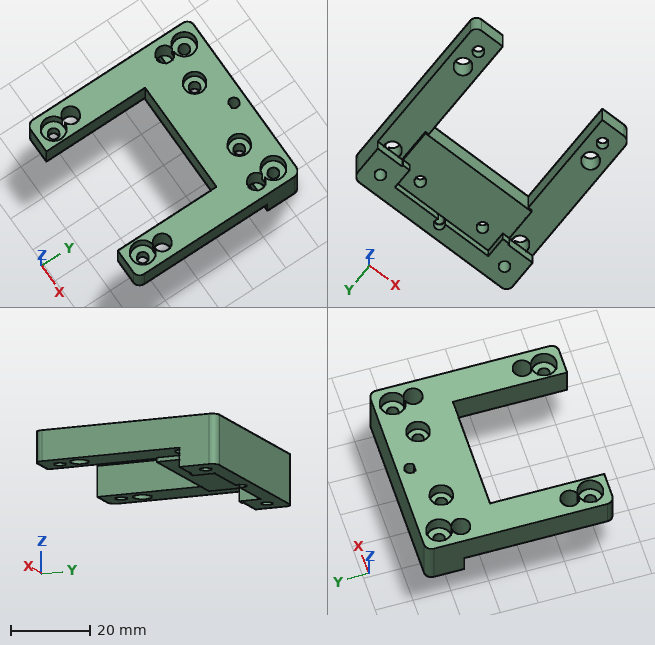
import cadquery as cq

side = 49.8
height = 13.1
corner_radius = 2.0
middle = side / 2

arm_bottom = 5.05
pad_bottom = 3.95
block_front = 39.7
inner_block_front = 39.3
pad_width = 34.15

slot_width = 31.95
slot_back = 30.2

recess_width = 30.0
recess_back = 45.2

screw_diameter = 3.0
corner_bore_diameter = 6.55
middle_bore_diameter = 6.0
corner_bore_depth = 4.0
middle_bore_depth = 3.5
corner_screw_spacing = 39.95
middle_screw_spacing = 20.0
middle_screw_y = 41.25

relief_diameter = 4.8
relief_spacing_x = 41.05
relief_spacing_y = 28.8

locating_diameter = 2.9
locating_y = 46.4
groove_y = 46.1


def box(width, y_start, y_end, z_start, z_end):
    """Block centred across the part in X, between the given Y and Z limits."""
    size_y = y_end - y_start
    size_z = z_end - z_start
    return (
        cq.Workplane("XY")
        .box(width, size_y, size_z, centered=(True, False, False))
        .translate((middle, y_start, z_start))
    )


def cylinder(x, y, diameter, z_start, z_end):
    """Vertical cylinder between two levels."""
    return (
        cq.Workplane("XY", origin=(x, y, z_start))
        .circle(diameter / 2)
        .extrude(z_end - z_start)
    )


def mirrored_pair(spacing):
    """Coordinates of two features placed symmetrically about the middle."""
    return (middle - spacing / 2, middle + spacing / 2)


def counterbored_hole(x, y, bore_diameter, bore_depth):
    """Through screw hole with a counterbore from the top face."""
    hole = cylinder(x, y, screw_diameter, 0, height)
    bore = cylinder(x, y, bore_diameter, height - bore_depth, height)
    return hole.union(bore)


def make_body():
    """Rounded square with a raised underside, a pad and the slot."""
    body = box(side, 0, side, 0, height).edges("|Z").fillet(corner_radius)
    body = body.cut(box(side, 0, block_front, 0, arm_bottom))
    body = body.union(box(pad_width, slot_back, block_front, pad_bottom, arm_bottom))
    body = body.union(box(pad_width, inner_block_front, block_front, 0, pad_bottom))
    body = body.cut(box(slot_width, 0, slot_back, 0, height))
    return body.cut(box(recess_width, inner_block_front, recess_back, 0, pad_bottom))


def locating_hole():
    """Upper hole flattened at the recess wall, above an open half-round groove."""
    upper = cylinder(middle, locating_y, locating_diameter, pad_bottom, height)
    upper = upper.intersect(box(side, recess_back, side, pad_bottom, height))
    groove = cylinder(middle, groove_y, locating_diameter, 0, pad_bottom)
    return upper.union(groove)


result = make_body()

for screw_x in mirrored_pair(corner_screw_spacing):
    for screw_y in mirrored_pair(corner_screw_spacing):
        hole = counterbored_hole(screw_x, screw_y, corner_bore_diameter, corner_bore_depth)
        result = result.cut(hole)

for screw_x in mirrored_pair(middle_screw_spacing):
    hole = counterbored_hole(screw_x, middle_screw_y, middle_bore_diameter, middle_bore_depth)
    result = result.cut(hole)

for relief_x in mirrored_pair(relief_spacing_x):
    for relief_y in mirrored_pair(relief_spacing_y):
        result = result.cut(cylinder(relief_x, relief_y, relief_diameter, arm_bottom, height))

result = result.cut(locating_hole())